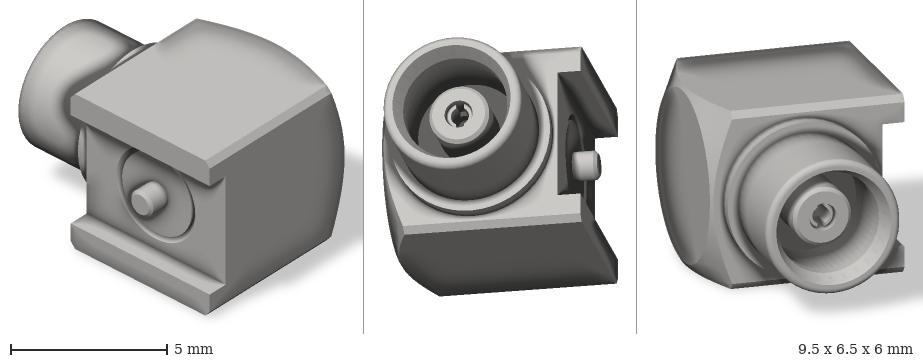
import cadquery as cq
import math

body_size = 6.0
half_body = body_size / 2
front_y = -3.5
body_depth = half_body - front_y
corner_chamfer_x = 0.19
corner_chamfer_z = 0.23
back_flat_radius = 2.87
back_bevel_angle = math.radians(30)

channel_width = 4.2
channel_depth = 0.75
channel_floor_y = front_y + channel_depth

recess_outer_radius = 1.7
recess_floor_radius = 1.5
recess_depth = 0.2
insulator_face_depth = 0.05
pin_radius = 0.475
pin_chamfer = 0.1

overall_length = 9.5
mouth_x = half_body - overall_length
flange_radius = 2.6
flange_length = 0.49
barrel_radius = 2.25
barrel_lip_fillet = 0.2
mouth_radius = 1.93
bore_radius = 1.7
mouth_taper_length = 0.6
bore_depth = 3.0

post_radius = 0.98
post_chamfer = 0.11
post_tip_depth = 1.14
contact_radius = 0.46
contact_chamfer = 0.07
contact_recess = 0.2
contact_bore_radius = 0.29
contact_bore_depth = 1.14
drill_point_depth = 0.17
contact_slot_width = 0.26
contact_slot_depth = 0.76


def rod_x(start, length, radius):
    """Cylinder on the socket axis, growing towards +X."""
    return cq.Workplane("YZ", origin=(start, 0, 0)).circle(radius).extrude(length)


def cone_x(start, length, start_radius, end_radius):
    """Cone or frustum on the socket axis, growing towards +X."""
    return cq.Workplane(cq.Solid.makeCone(
        start_radius, end_radius, length, cq.Vector(start, 0, 0), cq.Vector(1, 0, 0)))


def make_body():
    half_x = half_body - corner_chamfer_x
    half_z = half_body - corner_chamfer_z
    block = (
        cq.Workplane("XZ", origin=(0, half_body, 0))
        .moveTo(-half_x, half_body)
        .lineTo(half_x, half_body)
        .lineTo(half_body, half_z)
        .lineTo(half_body, -half_z)
        .lineTo(half_x, -half_body)
        .lineTo(-half_x, -half_body)
        .lineTo(-half_body, -half_z)
        .lineTo(-half_body, half_z)
        .close()
        .extrude(body_depth)
    )
    bevel_base_radius = back_flat_radius + body_depth / math.tan(back_bevel_angle)
    bevel = cq.Solid.makeCone(
        bevel_base_radius, back_flat_radius, body_depth,
        cq.Vector(0, front_y, 0), cq.Vector(0, 1, 0))
    return block.intersect(cq.Workplane(bevel))


def make_channel():
    channel_centre_y = (front_y + channel_floor_y) / 2
    return (
        cq.Workplane("XY")
        .box(body_size, channel_depth, channel_width)
        .translate((0, channel_centre_y, 0))
    )


def make_pin_recess():
    return cq.Workplane(cq.Solid.makeCone(
        recess_outer_radius, recess_floor_radius, recess_depth,
        cq.Vector(0, channel_floor_y, 0), cq.Vector(0, 1, 0)))


def make_insulator_disc():
    return (
        cq.Workplane("XZ", origin=(0, channel_floor_y + recess_depth, 0))
        .circle(recess_floor_radius)
        .extrude(recess_depth - insulator_face_depth)
    )


def make_pin():
    pin_length = channel_depth + recess_depth
    return (
        cq.Workplane("XZ", origin=(0, front_y + pin_length, 0))
        .circle(pin_radius)
        .extrude(pin_length)
        .faces("<Y")
        .chamfer(pin_chamfer)
    )


def make_barrel():
    barrel_length = -half_body - mouth_x
    barrel = rod_x(mouth_x, barrel_length, barrel_radius)
    barrel = barrel.faces("<X").edges().fillet(barrel_lip_fillet)
    return barrel.union(rod_x(-half_body - flange_length, flange_length, flange_radius))


def make_bore():
    taper = cone_x(mouth_x, mouth_taper_length, mouth_radius, bore_radius)
    return rod_x(mouth_x, bore_depth, bore_radius).union(taper)


def make_post():
    post = rod_x(mouth_x + post_tip_depth, bore_depth - post_tip_depth, post_radius)
    post = post.faces("<X").chamfer(post_chamfer)
    contact_x = mouth_x + post_tip_depth + contact_recess
    post = post.cut(rod_x(mouth_x, contact_x + contact_slot_depth - mouth_x, contact_radius))

    contact = rod_x(contact_x, contact_slot_depth, contact_radius)
    contact = contact.faces("<X").chamfer(contact_chamfer)
    slot = (
        cq.Workplane("XY")
        .box(contact_slot_depth, contact_slot_width, 2 * contact_radius)
        .translate((contact_x + contact_slot_depth / 2, 0, 0))
    )
    bore = rod_x(contact_x, contact_bore_depth, contact_bore_radius)
    drill_point = cone_x(contact_x + contact_bore_depth, drill_point_depth, contact_bore_radius, 0)
    return post.union(contact.cut(slot)).cut(bore).cut(drill_point)


result = (
    make_body()
    .cut(make_channel())
    .cut(make_pin_recess())
    .union(make_insulator_disc())
    .union(make_pin())
    .union(make_barrel())
    .cut(make_bore())
    .union(make_post())
)